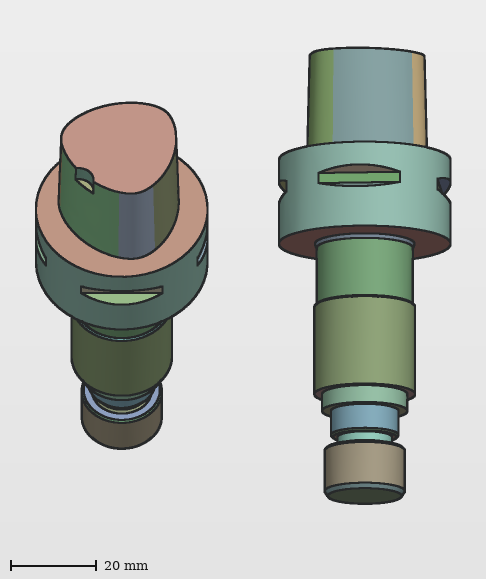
import cadquery as cq
import math

SHANK_LENGTH = 24.0
SHANK_MEAN_DIAMETER = 28.0
SHANK_TAPER = 1 / 20
LOBE_HEIGHT = 1.0
LOBE_COUNT = 3
LOBE_SPACING = 360 / LOBE_COUNT
FIRST_LOBE_ANGLE = 90.0
POINTS_PER_CURVE = 9

NOTCH_RADIUS = 3.5
NOTCH_INNER_Y = -10.75
NOTCH_DEPTH = 4.2

FLANGE_DIAMETER = 40.0
FLANGE_THICKNESS = 20.0
GROOVE_COUNT = 4
GROOVE_FLOOR_DISTANCE = 17.6
GROOVE_FLOOR_WIDTH = 2.4
GROOVE_INCLUDED_ANGLE = 60.0
GROOVE_CENTRE_Z = -8.0

FLANGE_ROOT_DIAMETER = 23.2
NECK_DIAMETER = 22.45
FLANGE_ROOT_HEIGHT = 1.0
NECK_END_Z = -34.6
RELIEF_DIAMETER = 21.9
BODY_TOP_Z = -35.0
BODY_DIAMETER = 23.5
BODY_END_Z = -55.8
STEP_DIAMETER = 19.9
STEP_END_Z = -59.8
SPIGOT_DIAMETER = 15.77
SPIGOT_END_Z = -66.0
SPIGOT_CHAMFER = 0.5
STEM_DIAMETER = 12.7

NUT_COLLAR_DIAMETER = 13.99
NUT_COLLAR_CHAMFER = (NUT_COLLAR_DIAMETER - STEM_DIAMETER) / 2
NUT_DIAMETER = 18.7
NUT_TOP_Z = -68.7
NUT_TOP_CHAMFER = 0.5
NUT_BOTTOM_CHAMFER_HEIGHT = 1.15
NUT_BOTTOM_CHAMFER_WIDTH = 0.75
NUT_BOTTOM_Z = -80.04


def lobed_point(mean_radius, angle):
    """Point of the constant-width profile whose outward normal is at this angle in degrees."""
    normal = math.radians(angle)
    phase = math.radians(LOBE_COUNT * (angle - FIRST_LOBE_ANGLE))
    support = mean_radius + LOBE_HEIGHT * math.cos(phase)
    slope = -LOBE_COUNT * LOBE_HEIGHT * math.sin(phase)
    x = support * math.cos(normal) - slope * math.sin(normal)
    y = support * math.sin(normal) + slope * math.cos(normal)
    return cq.Vector(x, y, 0)


def lobed_wire(mean_radius, z):
    """Closed profile of alternating lobe and flank curves."""
    curve_span = LOBE_SPACING / 2
    curves = []
    for index in range(2 * LOBE_COUNT):
        start = FIRST_LOBE_ANGLE + (index - 0.5) * curve_span
        angles = [start + curve_span * i / (POINTS_PER_CURVE - 1) for i in range(POINTS_PER_CURVE)]
        points = [lobed_point(mean_radius, angle) for angle in angles]
        tangents = []
        for angle in (angles[0], angles[-1]):
            direction = math.radians(angle + 90)
            tangents.append(cq.Vector(math.cos(direction), math.sin(direction), 0))
        curves.append(cq.Edge.makeSpline(points, tangents=tangents))
    return cq.Wire.assembleEdges(curves).moved(cq.Location(cq.Vector(0, 0, z)))


def make_shank():
    base_radius = SHANK_MEAN_DIAMETER / 2
    end_radius = base_radius - SHANK_TAPER * SHANK_LENGTH / 2
    base = lobed_wire(base_radius, 0)
    end = lobed_wire(end_radius, SHANK_LENGTH)
    shank = cq.Workplane(cq.Solid.makeLoft([base, end], True))
    notch = (
        cq.Workplane("XY", origin=(0, NOTCH_INNER_Y - NOTCH_RADIUS, SHANK_LENGTH - NOTCH_DEPTH))
        .circle(NOTCH_RADIUS)
        .extrude(NOTCH_DEPTH)
    )
    return shank.cut(notch)


def make_turned_body():
    """Flange, stepped arbor and nut as one revolved half profile of (diameter, z) corners."""
    corners = [
        (0, 0),
        (FLANGE_DIAMETER, 0),
        (FLANGE_DIAMETER, -FLANGE_THICKNESS),
        (FLANGE_ROOT_DIAMETER, -FLANGE_THICKNESS),
        (NECK_DIAMETER, -FLANGE_THICKNESS - FLANGE_ROOT_HEIGHT),
        (NECK_DIAMETER, NECK_END_Z),
        (RELIEF_DIAMETER, BODY_TOP_Z),
        (BODY_DIAMETER, BODY_TOP_Z),
        (BODY_DIAMETER, BODY_END_Z),
        (STEP_DIAMETER, BODY_END_Z),
        (STEP_DIAMETER, STEP_END_Z),
        (SPIGOT_DIAMETER, STEP_END_Z),
        (SPIGOT_DIAMETER, SPIGOT_END_Z + SPIGOT_CHAMFER),
        (SPIGOT_DIAMETER - 2 * SPIGOT_CHAMFER, SPIGOT_END_Z),
        (STEM_DIAMETER, SPIGOT_END_Z),
        (STEM_DIAMETER, NUT_TOP_Z + NUT_COLLAR_CHAMFER),
        (NUT_COLLAR_DIAMETER, NUT_TOP_Z),
        (NUT_DIAMETER - 2 * NUT_TOP_CHAMFER, NUT_TOP_Z),
        (NUT_DIAMETER, NUT_TOP_Z - NUT_TOP_CHAMFER),
        (NUT_DIAMETER, NUT_BOTTOM_Z + NUT_BOTTOM_CHAMFER_HEIGHT),
        (NUT_DIAMETER - 2 * NUT_BOTTOM_CHAMFER_WIDTH, NUT_BOTTOM_Z),
        (0, NUT_BOTTOM_Z),
    ]
    half_profile = [(diameter / 2, z) for diameter, z in corners]
    return cq.Workplane("XZ").polyline(half_profile).close().revolve(360, (0, 0), (0, 1))


def make_gripper_groove(angle):
    """Straight trapezoidal groove across the flange rim, facing outward at this angle in degrees."""
    rim = FLANGE_DIAMETER / 2
    floor_half = GROOVE_FLOOR_WIDTH / 2
    flank_rise = (rim - GROOVE_FLOOR_DISTANCE) * math.tan(math.radians(GROOVE_INCLUDED_ANGLE / 2))
    rim_half = floor_half + flank_rise
    section = [
        (GROOVE_FLOOR_DISTANCE, GROOVE_CENTRE_Z - floor_half),
        (rim, GROOVE_CENTRE_Z - rim_half),
        (rim, GROOVE_CENTRE_Z + rim_half),
        (GROOVE_FLOOR_DISTANCE, GROOVE_CENTRE_Z + floor_half),
    ]
    groove = cq.Workplane("XZ").polyline(section).close().extrude(rim, both=True)
    return groove.rotate((0, 0, 0), (0, 0, 1), angle)


body = make_turned_body()
groove_spacing = 360 / GROOVE_COUNT
for groove_index in range(GROOVE_COUNT):
    body = body.cut(make_gripper_groove((groove_index + 0.5) * groove_spacing))

result = body.union(make_shank())